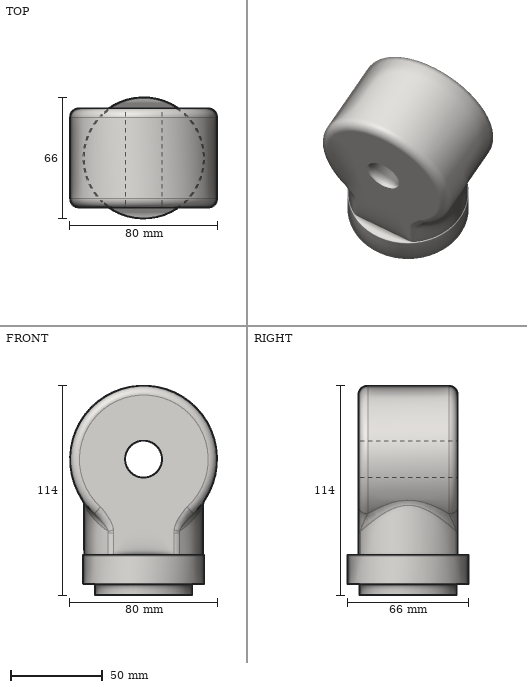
import cadquery as cq
import math

total_height = 114.0
head_diameter = 80.0
head_width = 54.0
bore_diameter = 20.0
neck_diameter = 64.9
flange_diameter = 66.0
spigot_diameter = 53.0

spigot_height = 6.0
flange_height = 16.0
flange_top = spigot_height + flange_height
head_center_z = total_height - head_diameter / 2

blend_radius = 5.0
rim_radius = 5.0
base_edge_radius = 0.5


def cylinder_along_y(diameter):
    """Horizontal cylinder of the head's width, centred on the head axis."""
    return (
        cq.Workplane("XZ", origin=(0, head_width / 2, head_center_z))
        .circle(diameter / 2)
        .extrude(head_width)
    )


def make_neck():
    """Upright column with round sides, flattened to the width of the head."""
    round_side_x = neck_diameter / 2
    flat_y = head_width / 2
    corner_x = math.sqrt(round_side_x**2 - flat_y**2)
    return (
        cq.Workplane("XY", origin=(0, 0, flange_top))
        .moveTo(-corner_x, -flat_y)
        .lineTo(corner_x, -flat_y)
        .threePointArc((round_side_x, 0), (corner_x, flat_y))
        .lineTo(-corner_x, flat_y)
        .threePointArc((-round_side_x, 0), (-corner_x, -flat_y))
        .close()
        .extrude(head_center_z - flange_top)
    )


def make_body():
    """Head and neck, blended where they meet and rounded along both flat faces."""
    body = cylinder_along_y(head_diameter).union(make_neck()).clean()
    body = body.edges("%BSPLINE").fillet(blend_radius)
    return body.faces("<Y or >Y").edges("not |X").fillet(rim_radius)


def make_base():
    """Flange disc with the narrower spigot below it, rounded at every corner."""
    spigot = cq.Workplane("XY").circle(spigot_diameter / 2).extrude(spigot_height)
    flange = (
        cq.Workplane("XY", origin=(0, 0, spigot_height))
        .circle(flange_diameter / 2)
        .extrude(flange_height)
    )
    return spigot.union(flange).edges("%CIRCLE").fillet(base_edge_radius)


bore = cylinder_along_y(bore_diameter)
result = make_body().union(make_base()).cut(bore)